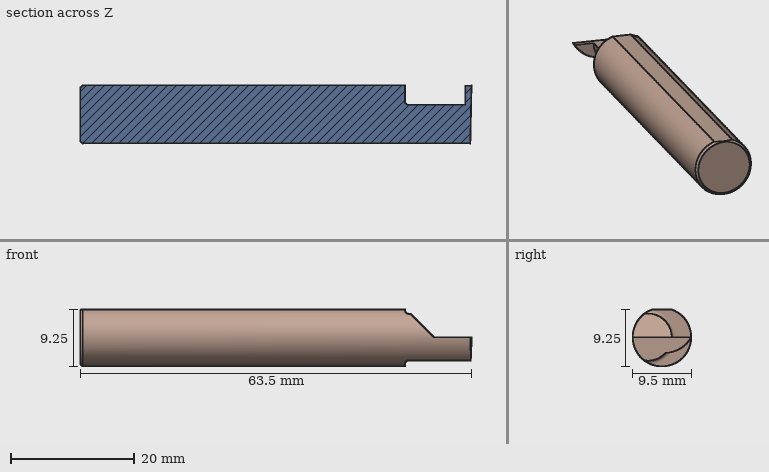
import cadquery as cq
import math

total_length = 63.5
shank_length = 52.7
shank_radius = 4.75
shank_flat_height = 4.5
rear_chamfer = 0.4

neck_radius = 3.8
neck_right_side = 1.6
neck_center_y = neck_right_side - neck_radius
root_fillet = 0.6

rake_height = 0.0
ramp_foot = 57.4

cutter_reach = shank_radius
cutter_back = 62.4
cutter_side_point = (4.2, -0.8)
cutter_root_point = (0.95, -2.55)

end_side_relief = 1.2


def make_shank():
    """Round bar with a rear chamfer and a clamping flat along its top."""
    shank = cq.Workplane("YZ").circle(shank_radius).extrude(shank_length)
    shank = shank.faces("<X").chamfer(rear_chamfer)
    flat_cut = (
        cq.Workplane("XY", origin=(0, 0, shank_flat_height))
        .rect(2 * total_length, 2 * shank_radius)
        .extrude(shank_radius)
    )
    return shank.cut(flat_cut)


def make_neck():
    """Offset round neck kept inside the shank circle, flared by a fillet at its root."""
    flare_radius = neck_radius + root_fillet
    fillet_end = shank_length + root_fillet
    arc_shift = root_fillet * math.sqrt(0.5)
    neck = (
        cq.Workplane("XY")
        .moveTo(shank_length, 0)
        .lineTo(shank_length, flare_radius)
        .threePointArc(
            (fillet_end - arc_shift, flare_radius - arc_shift),
            (fillet_end, neck_radius),
        )
        .lineTo(total_length, neck_radius)
        .lineTo(total_length, 0)
        .close()
        .revolve(360, (0, 0), (1, 0))
        .translate((0, neck_center_y, 0))
    )
    envelope = cq.Workplane("YZ").circle(shank_radius).extrude(total_length)
    return neck.intersect(envelope)


def make_cutter():
    """Thin cutting tooth reaching sideways from the neck, with a curved relief below."""
    return (
        cq.Workplane("YZ", origin=(cutter_back, 0, 0))
        .moveTo(neck_center_y, rake_height)
        .lineTo(cutter_reach, rake_height)
        .threePointArc(cutter_side_point, cutter_root_point)
        .lineTo(neck_center_y, cutter_root_point[1])
        .close()
        .extrude(total_length - cutter_back)
    )


def make_rake_cut():
    """Clearance above the cutting plane, ending at a 45 degree ramp."""
    top = 2 * shank_radius
    rise = top - rake_height
    return (
        cq.Workplane("XZ")
        .moveTo(ramp_foot, rake_height)
        .lineTo(2 * total_length, rake_height)
        .lineTo(2 * total_length, top)
        .lineTo(ramp_foot - rise, top)
        .close()
        .extrude(shank_radius * 2, both=True)
    )


def make_end_cut():
    """Block beyond the inclined end face, which passes through the cutting tip."""
    size = 4 * shank_radius
    tip = (total_length, cutter_reach, rake_height)
    return (
        cq.Workplane("XY")
        .box(size, 2 * size, 2 * size, centered=(False, True, True))
        .rotate((0, 0, 0), (0, 0, 1), -end_side_relief)
        .translate(tip)
    )


neck = make_neck().cut(make_rake_cut())
result = make_shank().union(neck).union(make_cutter()).cut(make_end_cut())